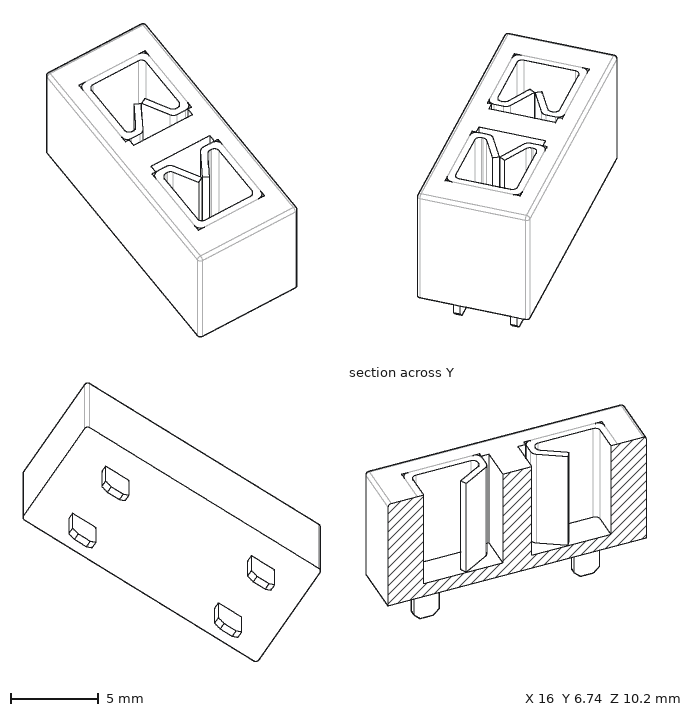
import cadquery as cq
import math

housing_length = 16.0
housing_width = 6.74
housing_height = 7.36
edge_radius = 0.2

contact_length = 4.82
contact_width = 4.5
contact_spacing = 2.75
wall = 0.4
outer_corner_radius = 0.4
inner_corner_radius = 0.3
arm_angle = 30.0
arm_reach = 1.78
tip_gap = 0.03

pocket_depth = 6.4
relief_length = 0.48
relief_width = 4.0

total_height = 10.16
pin_length = total_height - housing_height
pin_width = 1.58
pin_thickness = 0.4
pin_chamfer = 0.38
pin_pitch_x = 9.92
pin_pitch_y = 3.42

contact_front = -contact_spacing / 2
contact_back = contact_front - contact_length
contact_centre = (contact_front + contact_back) / 2
pocket_floor = housing_height - pocket_depth


def make_housing():
    block = cq.Workplane("XY").box(
        housing_length, housing_width, housing_height, centered=(True, True, False)
    )
    return block.edges("|Z or >Z").fillet(edge_radius)


def make_pocket():
    """Void for the -X contact, open at the top of the housing."""
    main = (
        cq.Workplane("XY", origin=(contact_centre, 0, pocket_floor))
        .rect(contact_length, contact_width)
        .extrude(pocket_depth)
    )
    relief = (
        cq.Workplane("XY", origin=(contact_front, 0, pocket_floor))
        .rect(2 * relief_length, relief_width)
        .extrude(pocket_depth)
    )
    return main.union(relief)


def make_contact():
    """Bent-strip contact on the -X side: a box section whose front folds in to two arms."""
    slope = math.tan(math.radians(arm_angle))
    tip_x = contact_front - arm_reach
    tip_y = tip_gap / 2
    inner_tip_x = tip_x - wall * math.sin(math.radians(arm_angle))
    inner_tip_y = tip_y + wall * math.cos(math.radians(arm_angle))
    outer_y = contact_width / 2
    inner_y = outer_y - wall
    inner_front = contact_front - wall
    inner_back = contact_back + wall

    outer_corners = [
        (contact_back, outer_y),
        (contact_front, outer_y),
        (contact_front, tip_y + arm_reach * slope),
    ]
    inner_corners = [
        (inner_front, inner_tip_y + (inner_front - inner_tip_x) * slope),
        (inner_front, inner_y),
        (inner_back, inner_y),
    ]
    outline = (
        [(contact_back, 0)]
        + outer_corners
        + [(tip_x, tip_y), (inner_tip_x, inner_tip_y)]
        + inner_corners
        + [(inner_back, 0)]
    )
    half = (
        cq.Workplane("XY", origin=(0, 0, pocket_floor))
        .polyline(outline)
        .close()
        .extrude(pocket_depth)
    )

    mid_height = pocket_floor + pocket_depth / 2
    rounding = (
        (outer_corners, outer_corner_radius),
        (inner_corners, inner_corner_radius),
    )
    for corners, radius in rounding:
        for x, y in corners:
            edge_at_corner = cq.selectors.NearestToPointSelector((x, y, mid_height))
            half = half.edges(edge_at_corner).fillet(radius)
    return half.union(half.mirror("XZ"))


def make_pins():
    return (
        cq.Workplane("XY")
        .rarray(pin_pitch_x, pin_pitch_y, 2, 2)
        .rect(pin_width, pin_thickness)
        .extrude(-pin_length)
        .faces("<Z")
        .edges("|Y")
        .chamfer(pin_chamfer)
    )


pocket = make_pocket()
contact = make_contact()
housing = make_housing().cut(pocket).cut(pocket.mirror("YZ")).union(make_pins())

result = housing.union(contact, clean=False).union(contact.mirror("YZ"), clean=False)